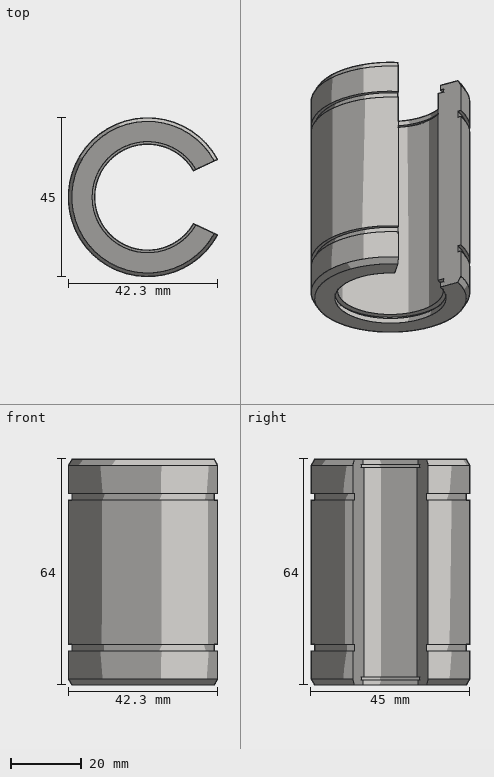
import cadquery as cq
import math

length = 64.0
outer_radius = 22.495
bore_radius = 15.0

chamfer_radial = 1.0
chamfer_axial = 1.7
mouth_radius = 15.75
undercut_radius = 16.8
undercut_top_depth = 1.5
recess_depth = 2.4

groove_depth = 1.0
groove_width = 1.85
groove_end_distance = 9.7

opening_width_at_bore = 15.0
opening_half_angle = 25.0


def ring(radius_in, radius_out, height, z_bottom):
    """Plain ring around the Z axis."""
    return (
        cq.Workplane("XY")
        .workplane(offset=z_bottom)
        .circle(radius_out)
        .circle(radius_in)
        .extrude(height)
    )


def sleeve_body():
    """Revolved tube with a steep chamfer on both outer ends."""
    half = length / 2
    chamfer_radius = outer_radius - chamfer_radial
    chamfer_z = half - chamfer_axial
    return (
        cq.Workplane("XZ")
        .moveTo(bore_radius, -half)
        .lineTo(chamfer_radius, -half)
        .lineTo(outer_radius, -chamfer_z)
        .lineTo(outer_radius, chamfer_z)
        .lineTo(chamfer_radius, half)
        .lineTo(bore_radius, half)
        .close()
        .revolve(360, (0, 0, 0), (0, 1, 0))
    )


def end_recess():
    """Counterbore at the top end, with a wider undercut behind its mouth."""
    z_floor = length / 2 - recess_depth
    undercut_height = recess_depth - undercut_top_depth
    mouth = ring(bore_radius, mouth_radius, recess_depth, z_floor)
    undercut = ring(bore_radius, undercut_radius, undercut_height, z_floor)
    return mouth.union(undercut)


def end_groove():
    """Square retaining-ring groove near the top end."""
    z_bottom = length / 2 - groove_end_distance - groove_width
    return ring(outer_radius - groove_depth, 2 * outer_radius, groove_width, z_bottom)


def opening():
    """Flared wedge that removes the +X side over the full length."""
    slope = math.tan(math.radians(opening_half_angle))
    y_bore = opening_width_at_bore / 2
    x_bore = math.sqrt(bore_radius**2 - y_bore**2)
    x_far = 2 * outer_radius
    y_axis = y_bore - x_bore * slope
    y_far = y_axis + x_far * slope
    return (
        cq.Workplane("XY")
        .polyline([(0, -y_axis), (x_far, -y_far), (x_far, y_far), (0, y_axis)])
        .close()
        .extrude(length / 2, both=True)
    )


result = sleeve_body()
for end_cut in (end_recess(), end_groove()):
    result = result.cut(end_cut).cut(end_cut.mirror("XY"))
result = result.cut(opening())